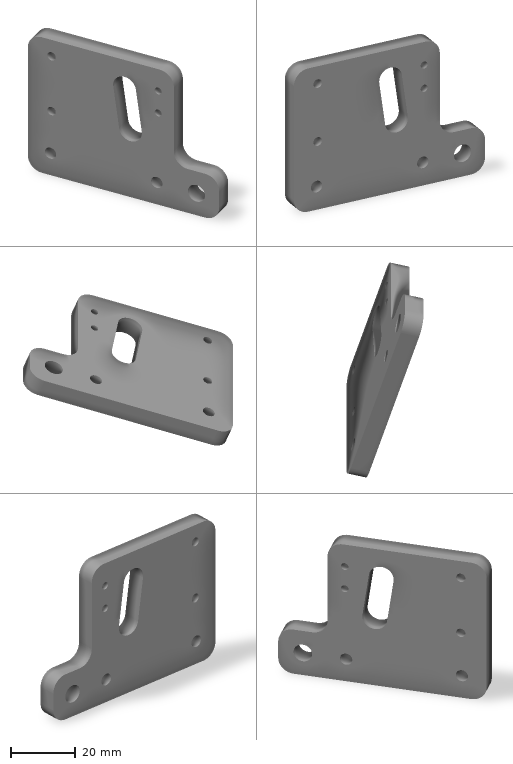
import cadquery as cq

length = 67.5
height = 49.5
thickness = 6.0
body_width = 51.5
tab_height = 16.0
corner_radius = 5.0

lower_row_z = tab_height / 2
lower_hole_diameter = 4.0
lower_hole_xs = (lower_row_z, 45.5)
tab_hole_diameter = 6.0
tab_hole_x = length - lower_row_z

left_hole_diameter = 3.0
left_hole_x = 8.4
left_hole_zs = (23.5, 43.5)
right_hole_diameter = 2.4
right_hole_x = 46.0
right_hole_zs = (33.5, 41.5)

slot_width = 8.0
slot_center_distance = 15.0
slot_x = 35.2
slot_z = 31.85
slot_tilt = 8.0


def plate():
    """L-shaped plate with every corner rounded, including the inner one."""
    outline = [
        (0, 0),
        (length, 0),
        (length, tab_height),
        (body_width, tab_height),
        (body_width, height),
        (0, height),
    ]
    blank = cq.Workplane("XZ").polyline(outline).close().extrude(-thickness)
    return blank.edges("|Y").fillet(corner_radius)


def through_holes(points, diameter):
    """Cylinders that cut through the plate at the given XZ points."""
    return cq.Workplane("XZ").pushPoints(points).circle(diameter / 2).extrude(-thickness)


def slot():
    """Through slot with round ends."""
    return (
        cq.Workplane("XZ")
        .center(slot_x, slot_z)
        .slot2D(slot_center_distance + slot_width, slot_width, 90 + slot_tilt)
        .extrude(-thickness)
    )


lower_points = [(x, lower_row_z) for x in lower_hole_xs]
left_points = [(left_hole_x, z) for z in left_hole_zs]
right_points = [(right_hole_x, z) for z in right_hole_zs]

result = (
    plate()
    .cut(through_holes(lower_points, lower_hole_diameter))
    .cut(through_holes([(tab_hole_x, lower_row_z)], tab_hole_diameter))
    .cut(through_holes(left_points, left_hole_diameter))
    .cut(through_holes(right_points, right_hole_diameter))
    .cut(slot())
)